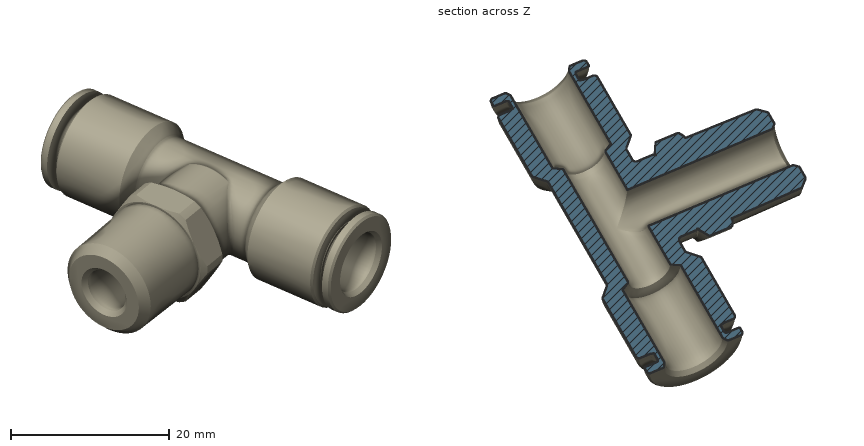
import cadquery as cq
import math

LENGTH = 45.4
BODY_DIAMETER = 14.0
BODY_RADIUS = BODY_DIAMETER / 2
TUBE_RADIUS = 5.55
BORE_RADIUS = 2.95

COLLAR_RADIUS = 6.75
COLLAR_THICKNESS = 1.2
NECK_RADIUS = 4.7
INSERT_RADIUS = 5.15
INSERT_DEPTH = 2.5
BODY_DEPTH = 2.6
SHOULDER_DEPTH = 12.65
CONE_END_DEPTH = 14.2
OUTER_CHAMFER = 0.25
NECK_FILLET = 0.23

SOCKET_RADIUS = 4.1
SOCKET_DEPTH = SHOULDER_DEPTH
SOCKET_FLOOR_ANGLE = math.radians(60)
SOCKET_LEAD_WIDTH = 0.4
SOCKET_LEAD_DEPTH = 0.65

BRANCH_RADIUS = 6.25
BRANCH_START = 1.3
HEX_START = 8.45
HEX_END = 12.95
BRANCH_EDGE_CHAMFER = 0.23
HEX_FLATS = BODY_DIAMETER
HEX_CORNER_RADIUS = 7.75
HEX_BACK_RADIUS = 6.35
HEX_CHAMFER_SLOPE = math.tan(math.radians(30))

STEM_END = 24.0
STEM_RADIUS = 6.67
STEM_TAPER = 1 / 64
STEM_CHAMFER_LENGTH = 1.1
STEM_TIP_RADIUS = 5.45
STEM_LEAD = 0.6

BLEND_RADIUS = 0.45
EDGE_MARGIN = 0.05


def turned_about_x(points):
    """Revolve a closed (depth, radius) outline about the run axis, at the -X end."""
    placed = [(depth - LENGTH / 2, radius) for depth, radius in points]
    return cq.Workplane("XY").polyline(placed).close().revolve(360, (0, 0, 0), (1, 0, 0))


def turned_about_y(points):
    """Revolve a closed (distance, radius) outline about the branch axis, toward -Y."""
    placed = [(radius, -distance) for distance, radius in points]
    return cq.Workplane("XY").polyline(placed).close().revolve(360, (0, 0, 0), (0, 1, 0))


def ring_edge(depth, radius):
    """Selector for the circular edge of a given radius around the run, at the -X end."""
    x = depth - LENGTH / 2
    reach = radius + EDGE_MARGIN
    return cq.selectors.BoxSelector(
        (x - EDGE_MARGIN, -reach, -reach),
        (x + EDGE_MARGIN, reach, reach),
        boundingbox=True,
    )


def both_ends(shape):
    return shape.union(shape.mirror("YZ"))


def make_core():
    """Plain tube joined to the branch, with the seam between them blended."""
    tube = cq.Workplane("YZ").circle(TUBE_RADIUS).extrude(LENGTH / 2 - SHOULDER_DEPTH, both=True)
    branch = (
        cq.Workplane("XZ", origin=(0, -BRANCH_START, 0))
        .circle(BRANCH_RADIUS)
        .extrude(HEX_START - BRANCH_START)
        .faces("<Y").edges().chamfer(BRANCH_EDGE_CHAMFER)
        .faces(">Y").edges().fillet(BLEND_RADIUS)
    )
    return tube.union(branch).edges("%BSPLINE").fillet(BLEND_RADIUS)


def make_socket_bodies():
    """Release collar, neck and coned body at each end of the run."""
    body = turned_about_x([
        (0, 0),
        (0, COLLAR_RADIUS - OUTER_CHAMFER),
        (OUTER_CHAMFER, COLLAR_RADIUS),
        (COLLAR_THICKNESS, COLLAR_RADIUS),
        (COLLAR_THICKNESS, NECK_RADIUS),
        (INSERT_DEPTH, NECK_RADIUS),
        (INSERT_DEPTH, INSERT_RADIUS),
        (BODY_DEPTH, INSERT_RADIUS),
        (BODY_DEPTH, BODY_RADIUS - OUTER_CHAMFER),
        (BODY_DEPTH + OUTER_CHAMFER, BODY_RADIUS),
        (SHOULDER_DEPTH, BODY_RADIUS),
        (CONE_END_DEPTH, TUBE_RADIUS),
        (CONE_END_DEPTH + BLEND_RADIUS, TUBE_RADIUS),
        (CONE_END_DEPTH + BLEND_RADIUS, 0),
    ])
    body = body.edges(ring_edge(COLLAR_THICKNESS, NECK_RADIUS)).fillet(NECK_FILLET)
    body = body.edges(ring_edge(CONE_END_DEPTH, TUBE_RADIUS)).fillet(BLEND_RADIUS)
    return both_ends(body)


def make_hexagon():
    """Hexagon with trimmed corners, chamfered at 30 degrees on both faces."""
    flats_radius = HEX_FLATS / 2
    corner_diameter = HEX_FLATS / math.cos(math.radians(30))
    prism = (
        cq.Workplane("XZ", origin=(0, -HEX_START, 0))
        .polygon(6, corner_diameter)
        .extrude(HEX_END - HEX_START)
    )
    back_drop = (HEX_CORNER_RADIUS - HEX_BACK_RADIUS) * HEX_CHAMFER_SLOPE
    front_drop = (HEX_CORNER_RADIUS - flats_radius) * HEX_CHAMFER_SLOPE
    envelope = turned_about_y([
        (HEX_START, 0),
        (HEX_START, HEX_BACK_RADIUS),
        (HEX_START + back_drop, HEX_CORNER_RADIUS),
        (HEX_END - front_drop, HEX_CORNER_RADIUS),
        (HEX_END, flats_radius),
        (HEX_END, 0),
    ])
    return prism.intersect(envelope)


def make_stem():
    """Tapered stem with a chamfered tip."""
    taper_end = STEM_END - STEM_CHAMFER_LENGTH
    taper_end_radius = STEM_RADIUS - (taper_end - HEX_END) * STEM_TAPER
    return turned_about_y([
        (HEX_END, 0),
        (HEX_END, STEM_RADIUS),
        (taper_end, taper_end_radius),
        (STEM_END, STEM_TIP_RADIUS),
        (STEM_END, 0),
    ])


def make_run_bore():
    """Passage along X, opening through a cone into a tube socket at each end."""
    cone_length = (SOCKET_RADIUS - BORE_RADIUS) / math.tan(SOCKET_FLOOR_ANGLE)
    half_bore = turned_about_x([
        (0, 0),
        (0, SOCKET_RADIUS + SOCKET_LEAD_WIDTH),
        (SOCKET_LEAD_DEPTH, SOCKET_RADIUS),
        (SOCKET_DEPTH, SOCKET_RADIUS),
        (SOCKET_DEPTH + cone_length, BORE_RADIUS),
        (LENGTH / 2, BORE_RADIUS),
        (LENGTH / 2, 0),
    ])
    return both_ends(half_bore)


def make_branch_bore():
    """Passage from the run axis out through the stem, chamfered at its mouth."""
    return turned_about_y([
        (0, 0),
        (0, BORE_RADIUS),
        (STEM_END - STEM_LEAD, BORE_RADIUS),
        (STEM_END, BORE_RADIUS + STEM_LEAD),
        (STEM_END, 0),
    ])


result = (
    make_core()
    .union(make_socket_bodies())
    .union(make_hexagon())
    .union(make_stem())
    .cut(make_run_bore())
    .cut(make_branch_bore())
)